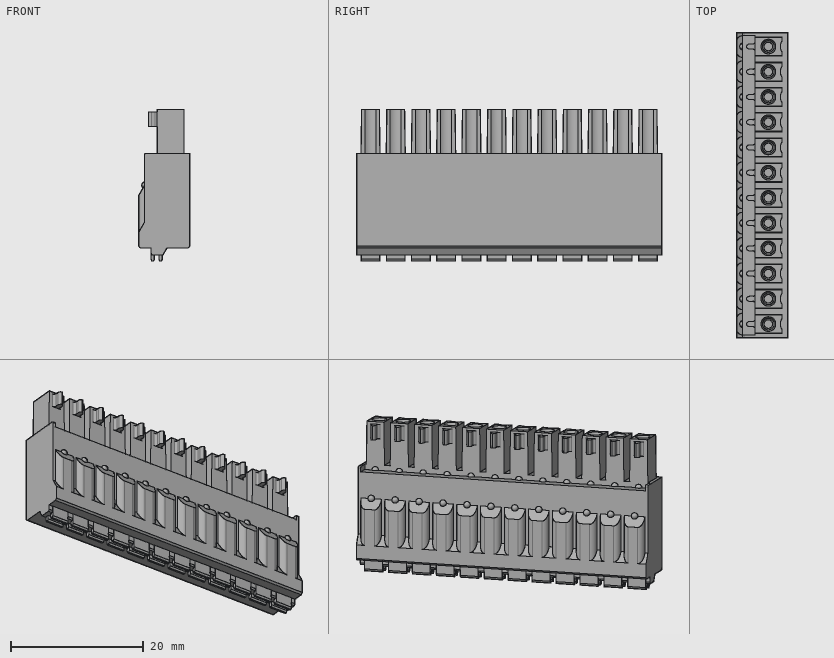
import cadquery as cq
import math

poles = 12
length = 46.1
depth = 7.75
height = 22.9
end_allowance = 4.2
pitch = (length - end_allowance) / (poles - 1)

body_bottom = 2.0
body_top = 16.28
face_x = 0.88
step_low = 4.35
step_high = 5.85
edge_radius = 0.25
edge_chamfer = 0.28

keel_front = 1.9
keel_back_top = 4.3
keel_back_bottom = 3.7
keel_bottom = 0.9
keel_chamfer_depth = 0.15
keel_chamfer_height = 0.28

foot_width = 2.85
foot_thickness = 0.55
foot_front_positions = (1.85, 3.05)
foot_chamfer_depth = 0.15
foot_chamfer_height = 0.3

ledge_back = 2.8
ledge_z = 15.45
ledge_end_wall = 0.4

post_front = ledge_back
post_back = 6.85
post_top_width = 2.7
post_base_width = 2.9
groove_width = 1.65
groove_depth = 0.28

well_x = 4.8
well_top_diameter = 2.2
well_wall_diameter = 1.75
well_floor_diameter = 1.3
well_wall_depth = 0.88
well_cone_depth = 0.15

tab_length = 1.35
tab_half_width = 0.39
tab_flare = 0.35
tab_tip_length = 0.5
tab_bottom = 20.35
tab_top = 22.55

rib_width = 3.27
rib_corner_radius = face_x
rib_root = 0.45
rib_slope_low = 9.9
rib_slope_high = 11.45

bead_radius = 0.55
bead_inset = 0.15

pole_positions = [(i - (poles - 1) / 2) * pitch for i in range(poles)]


def along_y(points, width, center_y=0.0):
    """Extrude a closed XZ outline symmetrically about center_y."""
    solid = cq.Workplane("XZ").polyline(points).close().extrude(width / 2, both=True)
    return solid.translate((0, center_y, 0))


def housing():
    outline = [
        (edge_chamfer, body_bottom),
        (depth - edge_chamfer, body_bottom),
        (depth, body_bottom + edge_chamfer),
        (depth, body_top),
        (face_x, body_top),
        (face_x, step_high),
        (0, step_low),
        (0, body_bottom + edge_chamfer),
    ]
    body = along_y(outline, length)
    top_front_edge = cq.selectors.NearestToPointSelector((face_x, 0, body_top))
    body = body.edges(top_front_edge).fillet(edge_radius)
    ledge_height = body_top - ledge_z
    ledge_cut = cq.Workplane("XY").box(
        ledge_back, length - 2 * ledge_end_wall, ledge_height, centered=(False, True, False)
    )
    return body.cut(ledge_cut.translate((0, 0, ledge_z)))


def keel():
    outline = [
        (keel_front, body_bottom),
        (keel_front, keel_bottom + keel_chamfer_height),
        (keel_front + keel_chamfer_depth, keel_bottom),
        (keel_back_bottom, keel_bottom),
        (keel_back_top, body_bottom),
    ]
    return along_y(outline, length)


def foot(front_x, y):
    back_x = front_x + foot_thickness
    outline = [
        (front_x, body_bottom),
        (front_x, foot_chamfer_height),
        (front_x + foot_chamfer_depth, 0),
        (back_x - foot_chamfer_depth, 0),
        (back_x, foot_chamfer_height),
        (back_x, body_bottom),
    ]
    return along_y(outline, foot_width, y)


def post(y):
    outline = [
        (y - post_base_width / 2, body_top),
        (y - post_top_width / 2, height),
        (y + post_top_width / 2, height),
        (y + post_base_width / 2, body_top),
    ]
    block = cq.Workplane("YZ", origin=(post_front, 0, 0)).polyline(outline).close()
    block = block.extrude(post_back - post_front)
    groove = (
        cq.Workplane("XY", origin=(0, y, body_top))
        .moveTo(post_back, -groove_width / 2)
        .threePointArc((post_back - groove_depth, 0), (post_back, groove_width / 2))
        .close()
        .extrude(height - body_top)
    )
    return block.cut(groove)


def screw_well(y):
    mouth = cq.Workplane("XY", origin=(well_x, y, height)).circle(well_top_diameter / 2)
    wall = mouth.workplane(offset=-well_wall_depth).circle(well_wall_diameter / 2).loft()
    cone_z = height - well_wall_depth
    cone_top = cq.Workplane("XY", origin=(well_x, y, cone_z)).circle(well_wall_diameter / 2)
    cone = cone_top.workplane(offset=-well_cone_depth).circle(well_floor_diameter / 2).loft()
    return wall.union(cone)


def coding_tab(y):
    base_half = tab_half_width + tab_flare
    flare_x = post_front - tab_flare
    tip_x = post_front - tab_length
    arch_x = tip_x + tab_tip_length
    arch_radius = (tab_half_width**2 + tab_tip_length**2) / (2 * tab_half_width)
    arch_mid_angle = math.asin(tab_tip_length / arch_radius) / 2
    arch_mid_x = arch_x - arch_radius * math.sin(arch_mid_angle)
    arch_mid_y = tab_half_width - arch_radius * (1 - math.cos(arch_mid_angle))
    flare_mid = tab_flare * (1 - math.sqrt(0.5))
    return (
        cq.Workplane("XY", origin=(0, y, tab_bottom))
        .moveTo(post_front, -base_half)
        .threePointArc((post_front - flare_mid, -tab_half_width - flare_mid), (flare_x, -tab_half_width))
        .lineTo(arch_x, -tab_half_width)
        .threePointArc((arch_mid_x, -arch_mid_y), (tip_x, 0))
        .threePointArc((arch_mid_x, arch_mid_y), (arch_x, tab_half_width))
        .lineTo(flare_x, tab_half_width)
        .threePointArc((post_front - flare_mid, tab_half_width + flare_mid), (post_front, base_half))
        .close()
        .extrude(tab_top - tab_bottom)
    )


def rib(y):
    root_x = face_x + rib_root
    side = [
        (0, step_low),
        (0, rib_slope_low),
        (face_x, rib_slope_high),
        (root_x, rib_slope_high),
        (root_x, step_low),
    ]
    rounded_bar = (
        cq.Workplane("XY", origin=(0, y, step_low))
        .rect(2 * root_x, rib_width)
        .extrude(rib_slope_high - step_low)
    )
    rounded_bar = rounded_bar.translate((root_x, 0, 0)).edges("|Z and <X").fillet(rib_corner_radius)
    return along_y(side, rib_width, y).intersect(rounded_bar)


def bead(wall_x, y, z):
    return cq.Workplane("XY").sphere(bead_radius).translate((wall_x + bead_inset, y, z))


result = housing().union(keel())
for pole_y in pole_positions:
    result = result.union(rib(pole_y))
    result = result.union(bead(face_x, pole_y, rib_slope_high))
    result = result.union(bead(ledge_back, pole_y, ledge_z))
    for foot_front in foot_front_positions:
        result = result.union(foot(foot_front, pole_y))
    result = result.union(post(pole_y).cut(screw_well(pole_y)))
    result = result.union(coding_tab(pole_y))